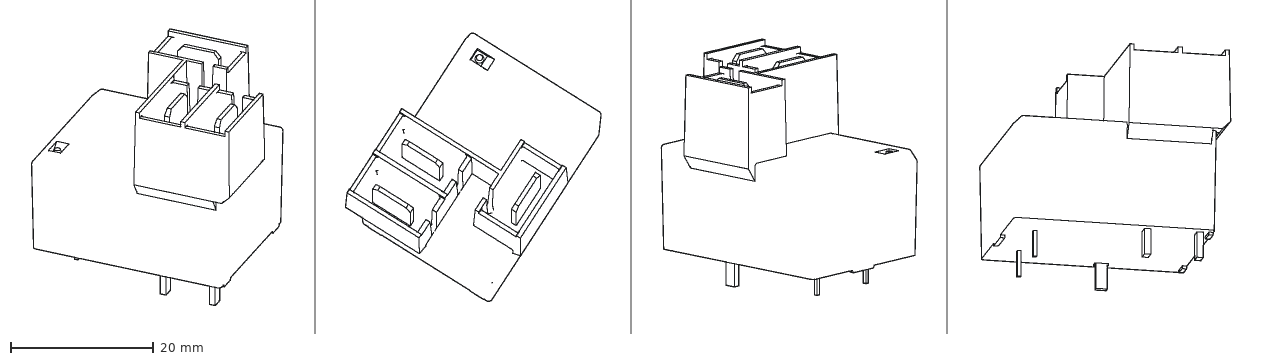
import cadquery as cq
import math

case_height = 15.13
housing_base = 14.57
housing_top = 26.2
rim_step_depth = 0.85
pin_length = 3.75
foot_height = 0.37

draft = 0.9
draft_slope = math.tan(math.radians(draft))
overlap = 0.3

case_left = 0.22
case_length = 28.98
case_width = 21.5
case_round = 0.6
case_chamfer = 1.43
case_right = case_left + case_length

wall = 0.6
rear_wall = 0.7
back_block = (11.18, 23.53, 4.4, 12.3)
front_block = (16.47, 31.15, -12.15, 0.25)
web_thickness = 0.93
side_gusset_drop = 2.0
end_bevel = 1.87
end_bevel_top = 15.75
inset = (housing_top - housing_base) * draft_slope

blade_width = 6.3
blade_thickness = 0.8
blade_top = 25.87
tip_height = 0.9
tip_width = 4.73
tip_thickness = 0.62
back_blade_center = (17.18, 9.1)
front_blade_y = -6.15
front_blades_x = (20.33, 28.0)

cell_round = 0.3
floor_round = 0.6
divider_x = 23.9
divider_thickness = 0.65

slit_top_width = 1.7
slit_bottom_width = 1.25
slit_bottom_round = 0.5
inner_slit_x = 20.42
outer_slit_x = 27.27

vent_x0, vent_x1 = 1.87, 3.75
vent_y0, vent_y1 = -8.78, -5.88
vent_ramp_length = 1.2
vent_depth = 1.0
vent_nib_y = -7.8
vent_nib_radius = 0.62
vent_nib_tip_radius = 0.45
vent_nib_height = 0.9

coil_pin = 0.53
coil_pin_x = 4.5
coil_pins_y = (5.3, -4.83)
load_pin_width = 1.62
load_pin_thickness = 0.9
collar_width = 2.0
collar_height = 0.2
back_pin_x = 17.2
front_pins_x = (19.77, 27.33)
front_pin_y = -8.62

foot_depth = 0.65
foot_slope = 0.2
left_foot = (0.3, 4.55)
right_feet = ((8.55, 2.45), (-8.4, 2.45))


def box(x0, x1, y0, y1, z0, z1):
    """Axis-aligned box between two corners."""
    return cq.Workplane("XY").box(x1 - x0, y1 - y0, z1 - z0, centered=False).translate((x0, y0, z0))


def post(x, y, size_x, size_y, z0, z1):
    """Box centred on (x, y)."""
    return box(x - size_x / 2, x + size_x / 2, y - size_y / 2, y + size_y / 2, z0, z1)


def drafted_block(x0, x1, y0, y1):
    """Housing block that narrows from its base to its rim."""
    block = cq.Workplane("XY", origin=((x0 + x1) / 2, (y0 + y1) / 2, housing_base))
    return block.rect(x1 - x0, y1 - y0).extrude(housing_top - housing_base, taper=draft)


def make_case():
    flare = 2 * case_height * draft_slope
    case = (
        cq.Workplane("XY", origin=(case_left + case_length / 2, 0, 0))
        .rect(case_length, case_width)
        .workplane(offset=case_height)
        .rect(case_length + flare, case_width + flare)
        .loft(ruled=True)
    )
    case = case.faces(">Z").edges("<X").chamfer(case_chamfer)
    return case.edges("not(<Z)").fillet(case_round)


def make_side_gusset(x0, x1, side, outer_y):
    """Sloped underside carrying a block that overhangs the case side (side is +1 or -1)."""
    inner_y = side * (case_width / 2 - overlap)
    foot_y = side * (case_width / 2 + draft_slope * (housing_base - side_gusset_drop))
    points = [
        (inner_y, housing_base),
        (outer_y, housing_base),
        (foot_y, housing_base - side_gusset_drop),
        (inner_y, housing_base - side_gusset_drop),
    ]
    return cq.Workplane("YZ").polyline(points).close().extrude(x1 - x0).translate((x0, 0, 0))


def make_housing():
    bx0, bx1, by0, by1 = back_block
    fx0, fx1, fy0, fy1 = front_block
    web = drafted_block(fx0, fx0 + web_thickness, fy1 - rear_wall, by0 + wall)
    housing = drafted_block(*back_block).union(drafted_block(*front_block)).union(web)

    flat_end = case_right - case_round
    housing = housing.union(make_side_gusset(bx0, bx1, 1, by1))
    housing = housing.union(make_side_gusset(fx0, flat_end, -1, fy0))

    housing = housing.union(
        box(flat_end, fx1, case_round - case_width / 2, fy1, end_bevel_top - end_bevel, housing_base)
    )
    reach = end_bevel + overlap
    bevel = cq.Workplane("XZ", origin=(0, fy1 + overlap, 0)).polyline(
        [
            (fx1, end_bevel_top),
            (fx1 + overlap, end_bevel_top + overlap),
            (fx1 + overlap, end_bevel_top - reach),
            (fx1 - reach, end_bevel_top - reach),
        ]
    ).close().extrude(fy1 - fy0 + 2 * overlap)
    return housing.cut(bevel)


def make_cell(x0, x1, y0, y1, rounded_side):
    """Cell cavity; its floor is rounded along the front wall and along one side wall."""
    block = box(x0, x1, y0, y1, case_height, housing_top + overlap)
    cell = block.edges("|Z").fillet(cell_round)
    for wall_face in ("<Y", rounded_side):
        cell = cell.intersect(block.faces(wall_face).edges("<Z").fillet(floor_round))
    return cell


def make_slit(x, wall_y0, wall_y1):
    """Wall slit that narrows towards a rounded bottom at floor level."""
    half_top = slit_top_width / 2
    half_bottom = slit_bottom_width / 2
    points = [
        (x - half_top, housing_top),
        (x + half_top, housing_top),
        (x + half_bottom, case_height),
        (x - half_bottom, case_height),
    ]
    slit = cq.Workplane("XZ", origin=(0, wall_y1, 0)).polyline(points).close().extrude(wall_y1 - wall_y0)
    return slit.faces("<Z").edges("|Y").fillet(slit_bottom_round)


def make_blade(x, y, along_x):
    """Flat tab terminal with a tapered tip."""
    def oriented(width, thickness):
        return (width, thickness) if along_x else (thickness, width)

    shoulder = blade_top - tip_height
    body = post(x, y, *oriented(blade_width, blade_thickness), case_height - overlap, shoulder)
    tip = (
        cq.Workplane("XY", origin=(x, y, shoulder))
        .rect(*oriented(blade_width, blade_thickness))
        .workplane(offset=tip_height)
        .rect(*oriented(tip_width, tip_thickness))
        .loft(ruled=True)
    )
    return body.union(tip)


def make_vent_recess():
    floor_z = case_height - vent_depth
    points = [
        (vent_y0, case_height),
        (vent_y0, floor_z),
        (vent_y1 - vent_ramp_length, floor_z),
        (vent_y1, case_height),
    ]
    return cq.Workplane("YZ", origin=(vent_x0, 0, 0)).polyline(points).close().extrude(vent_x1 - vent_x0)


def make_vent_nib():
    center = ((vent_x0 + vent_x1) / 2, vent_nib_y, case_height - vent_depth)
    nib = cq.Workplane("XY", origin=center).circle(vent_nib_radius).workplane(offset=vent_nib_height)
    return nib.circle(vent_nib_tip_radius).loft()


def make_foot(x0, y, length):
    """Low standoff with sloped ends."""
    half = length / 2
    points = [
        (y - half, 0),
        (y + half, 0),
        (y + half - foot_slope, -foot_height),
        (y - half + foot_slope, -foot_height),
    ]
    return cq.Workplane("YZ", origin=(x0, 0, 0)).polyline(points).close().extrude(foot_depth)


back_x0 = back_block[0] + inset + wall
back_x1 = back_block[1] - inset - wall
back_y0 = back_block[2] + inset + wall
back_y1 = back_block[3] - inset - rear_wall
front_x0 = front_block[0] + inset + wall
front_x1 = front_block[1] - inset - wall
front_y0 = front_block[2] + inset + wall
front_y1 = front_block[3] - inset - rear_wall
divider_x0 = divider_x - divider_thickness / 2
divider_x1 = divider_x + divider_thickness / 2

result = make_case().union(make_housing())

cells = [
    (back_x0, back_x1, back_y0, back_y1, ">X"),
    (front_x0, divider_x0, front_y0, front_y1, "<X"),
    (divider_x1, front_x1, front_y0, front_y1, "<X"),
]
for cell in cells:
    result = result.cut(make_cell(*cell))

rim_z = housing_top - rim_step_depth
result = result.cut(box(back_block[0], back_block[1], back_y0, back_y1, rim_z, housing_top))
for x0, x1 in ((front_x0, divider_x0), (divider_x1, front_x1)):
    result = result.cut(box(x0, x1, front_block[2], front_block[3], rim_z, housing_top))

result = result.cut(make_slit(inner_slit_x, back_block[2], back_y0 + floor_round))
for x in (inner_slit_x, outer_slit_x):
    result = result.cut(make_slit(x, front_y1, front_block[3]))

result = result.cut(make_vent_recess()).union(make_vent_nib())

result = result.union(make_blade(*back_blade_center, True))
for x in front_blades_x:
    result = result.union(make_blade(x, front_blade_y, False))

back_pin_y = back_blade_center[1]
pins = [(coil_pin_x, y, coil_pin, coil_pin) for y in coil_pins_y]
pins += [(x, front_pin_y, load_pin_thickness, load_pin_width) for x in front_pins_x]
pins.append((back_pin_x, back_pin_y, load_pin_width, load_pin_thickness))
for pin in pins:
    result = result.union(post(*pin, -pin_length, overlap))
result = result.union(
    post(back_pin_x, back_pin_y, collar_width, load_pin_thickness, -collar_height, overlap)
)

result = result.union(make_foot(case_left, *left_foot))
for foot in right_feet:
    result = result.union(make_foot(case_right - foot_depth, *foot))